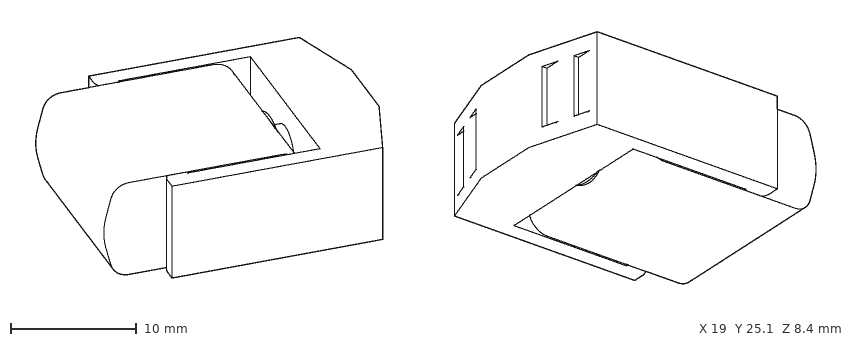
import cadquery as cq
import math

width = 19.0
length = 25.1
height = 8.4
half_width = width / 2
half_height = height / 2

shoulder_y = 23.05
rear_flat_width = 6.33
cavity_width = 15.87
cavity_rear_y = 18.3
arm_front_y = 5.15
lip_rear_y = 7.1
lip_round_radius = 1.2
lip_round_start_x = 8.45

notch_rear_edges = (24.7, 23.75)
notch_width = 0.48
notch_height = 5.47

block_width = 15.52
side_clearance = 0.013
block_rear_y = 16.97
rear_round_radius = 1.88
front_round_radius = 1.58
nose_radius = 5.55
nose_half_angle = math.radians(14.8)
front_round_start_y = 2.13

pin_radius = 2.03
collar_radius = 3.26
pin_embed = 2.5


def extrude_along_z(profile):
    return profile.extrude(height).translate((0, 0, -half_height))


def make_frame():
    flat_x = rear_flat_width / 2
    frame = extrude_along_z(
        cq.Workplane("XY").polyline([
            (-half_width, arm_front_y),
            (half_width, arm_front_y),
            (half_width, shoulder_y),
            (flat_x, length),
            (-flat_x, length),
            (-half_width, shoulder_y),
        ]).close()
    )
    cavity = cq.Workplane("XY").box(
        cavity_width, cavity_rear_y - lip_rear_y, height, centered=(True, False, True)
    ).translate((0, lip_rear_y, 0))
    mouth = cq.Workplane("XY").box(
        block_width + 2 * side_clearance, lip_rear_y - arm_front_y, height, centered=(True, False, True)
    ).translate((0, arm_front_y, 0))
    return frame.cut(cavity).cut(mouth)


def make_lip_round(side):
    """Sliver removed to round the front inner corner of one arm."""
    inner_x = block_width / 2 + side_clearance
    run = lip_round_start_x - inner_x

    def arc_y(offset):
        return arm_front_y + lip_round_radius - math.sqrt(lip_round_radius**2 - offset**2)

    return extrude_along_z(
        cq.Workplane("XY")
        .moveTo(side * lip_round_start_x, arm_front_y)
        .threePointArc(
            (side * (lip_round_start_x - run / 2), arc_y(run / 2)),
            (side * inner_x, arc_y(run)),
        )
        .lineTo(side * inner_x, arm_front_y)
        .close()
    )


def make_notch(side, rear_edge_y):
    """Notch whose flat floor faces outwards and meets the slanted face at its rear edge."""
    slope = (half_width - rear_flat_width / 2) / (length - shoulder_y)
    floor_x = rear_flat_width / 2 + (length - rear_edge_y) * slope
    depth = half_width - floor_x
    return cq.Workplane("XY").box(depth, notch_width, notch_height).translate(
        (side * (floor_x + depth / 2), rear_edge_y - notch_width / 2, 0)
    )


def make_block():
    sin_a = math.sin(nose_half_angle)
    cos_a = math.cos(nose_half_angle)
    nose_end = (nose_radius * (1 - cos_a), nose_radius * sin_a)
    round_z = half_height - front_round_radius
    round_end = (
        front_round_start_y - front_round_radius * cos_a,
        round_z + front_round_radius * sin_a,
    )
    mid_angle = (math.pi / 2 + nose_half_angle) / 2
    round_mid = (
        front_round_start_y - front_round_radius * math.cos(mid_angle),
        round_z + front_round_radius * math.sin(mid_angle),
    )

    def below(point):
        return (point[0], -point[1])

    block = (
        cq.Workplane("YZ")
        .moveTo(block_rear_y, -half_height)
        .lineTo(front_round_start_y, -half_height)
        .threePointArc(below(round_mid), below(round_end))
        .lineTo(*below(nose_end))
        .threePointArc((0, 0), nose_end)
        .lineTo(*round_end)
        .threePointArc(round_mid, (front_round_start_y, half_height))
        .lineTo(block_rear_y, half_height)
        .close()
        .extrude(block_width / 2, both=True)
    )
    return block.edges("|X and >Y").fillet(rear_round_radius)


def make_rear_cylinder(radius, rear_y):
    """Cylinder along Y that starts inside the block and ends at rear_y."""
    front_y = block_rear_y - pin_embed
    return cq.Workplane("XZ", origin=(0, front_y, 0)).circle(radius).extrude(front_y - rear_y)


frame = make_frame()
for side in (-1, 1):
    frame = frame.cut(make_lip_round(side))
    for rear_edge_y in notch_rear_edges:
        frame = frame.cut(make_notch(side, rear_edge_y))

pin = make_rear_cylinder(pin_radius, cavity_rear_y)
collar = make_rear_cylinder(collar_radius, block_rear_y)
result = frame.union(make_block()).union(collar).union(pin)